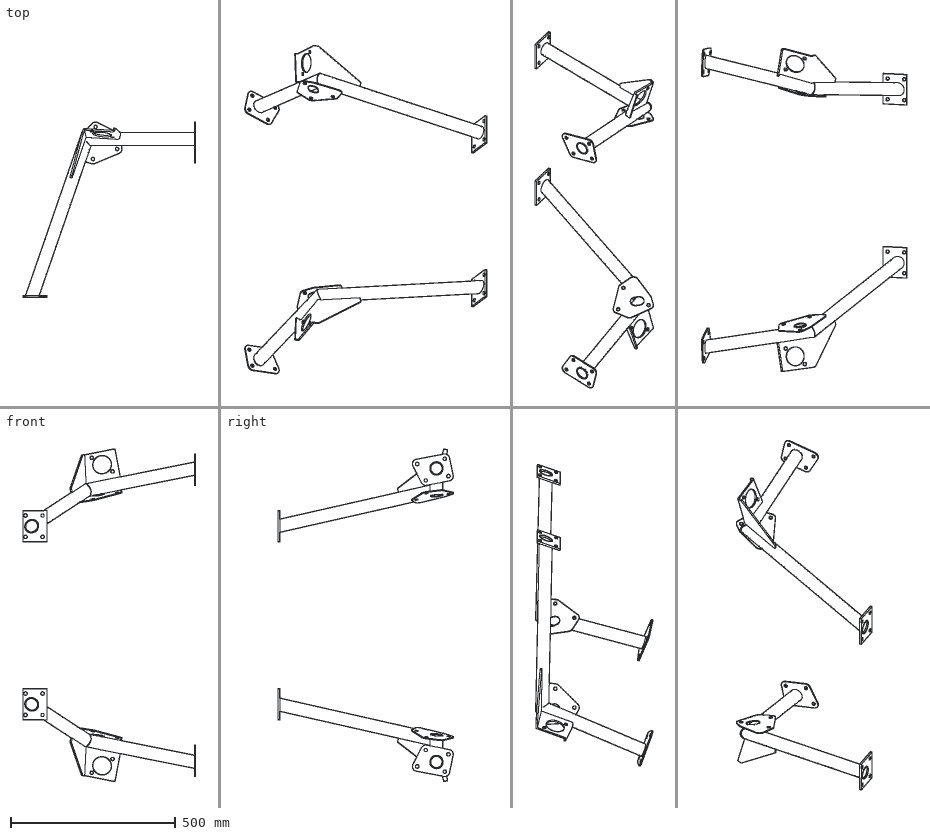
import cadquery as cq
import math


overall_x = 526.64
overall_y = 535.02
wall_face_x = overall_x / 2
foot_edge_x = -overall_x / 2
foot_face_y = -overall_y / 2

tube_diameter = 40.0
tube_bore = 34.0
tube_radius = tube_diameter / 2
corner = cq.Vector(-69.5, 215.5, 381)
wall_end = cq.Vector(wall_face_x, corner.y, 447.5)
foot_end = cq.Vector(-236.5, foot_face_y, 271.5)
rod_overrun = 60.0
cutter_size = 1500.0

tube_hole_diameter = 40.2
plate_bolt_diameter = 10.1
bracket_bolt_diameter = 10.15

foot_width = 74.0
foot_height = 95.0
foot_thickness = 6.0
foot_bolt_pitch_x = 52.0
foot_bolt_pitch_z = 65.0
foot_bolt_edge = 8.0

wall_thickness = 4.0
wall_lobe_radius = 15.0
wall_bolts = [(241, 477), (157, 461), (183, 411), (252, 424)]

mount_thickness = 3.0
mount_lobe_radius = 15.0
mount_bolts = [(25.0, 34.1), (90.0, -34.0), (14.0, -65.0)]
mount_back_shoulder = (85.0, 4.0)
mount_corner_shoulder = (7.0, 15.0)
mount_foot_shoulder = (-25.0, -54.0)
mount_slot_length = 42.0
mount_slot_width = 31.0
mount_slot_angle = -45.0
mount_slot = (32.0, -2.5)

bracket_thickness = 5.0
bend_direction = cq.Vector(-0.05, 0.25, 1).normalized()
motor_toe_angle = 3.5
motor_width = 100.0
motor_height = 110.9
motor_center = (61.0, 70.0)
motor_bore = 57.0
motor_bolt_offset = 27.5
edge_bend_radius = 8.0
lip_top_depth = 5.0
lip_bottom_depth = 13.0
lip_bottom_height = 22.0
gusset_length = 123.0
gusset_tip_height = 33.0
gusset_top_width = 14.0
gusset_top_rise = 3.0

wall_axis = wall_end - corner
foot_axis = foot_end - corner
wall_direction = wall_axis.normalized()
foot_direction = foot_axis.normalized()
arm_normal = foot_direction.cross(wall_direction).normalized()


def plane_at(origin, x_direction, normal):
    return cq.Plane(origin=origin.toTuple(), xDir=x_direction.toTuple(), normal=normal.toTuple())


mount_plane = plane_at(corner - arm_normal * tube_radius, wall_direction, arm_normal)
toe = cq.Vector(0, -math.tan(math.radians(motor_toe_angle)), 0)
motor_direction = (wall_direction + toe).normalized()
motor_plane = plane_at(corner, motor_direction, motor_direction.cross(bend_direction))
gusset_plane = plane_at(corner, foot_direction, foot_direction.cross(bend_direction))
rise_along_bend = motor_height / bend_direction.dot(motor_plane.yDir)
edge_bend_plane = plane_at(corner, motor_direction, motor_plane.yDir)
lip_origin = corner + motor_direction * (motor_width + edge_bend_radius)
lip_plane = plane_at(lip_origin, motor_plane.zDir * -1, motor_direction)


def drill(plane, points, diameter, depth):
    return cq.Workplane(plane).pushPoints(points).circle(diameter / 2).extrude(depth)


def rod(axis, diameter):
    """A round bar along a tube axis, running past both of its ends."""
    direction = axis.normalized()
    start = corner - direction * rod_overrun
    return cq.Solid.makeCylinder(diameter / 2, axis.Length + 2 * rod_overrun, start, direction)


def half_space(origin, direction):
    plane = cq.Plane(origin=origin.toTuple(), normal=direction.toTuple())
    return cq.Workplane(plane).rect(cutter_size, cutter_size).extrude(cutter_size).val()


def mitered_rods(diameter):
    """Two bars joined at the corner on a miter and trimmed flush with the end plates."""
    miter_normal = wall_direction - foot_direction
    wall_rod = rod(wall_axis, diameter).intersect(half_space(corner, miter_normal))
    wall_rod = wall_rod.cut(half_space(wall_end, cq.Vector(1, 0, 0)))
    foot_rod = rod(foot_axis, diameter).intersect(half_space(corner, miter_normal * -1))
    foot_rod = foot_rod.cut(half_space(foot_end, cq.Vector(0, -1, 0)))
    return wall_rod.fuse(foot_rod)


def lobed_plate(plane, centers, thickness, lobe_radius):
    return cq.Workplane(plane).polyline(centers).close().offset2D(lobe_radius).extrude(thickness)


def make_motor_plate():
    bend_top = rise_along_bend * bend_direction.dot(motor_direction)
    outline = [(0, 0), (motor_width, 0), (motor_width, motor_height), (bend_top, motor_height)]
    plate = cq.Workplane(motor_plane).polyline(outline).close().extrude(-bracket_thickness)
    x, y = motor_center
    bolts = [(x + side * motor_bolt_offset, y - side * motor_bolt_offset) for side in (-1, 1)]
    plate = plate.cut(drill(motor_plane, [motor_center], motor_bore, -bracket_thickness))
    return plate.cut(drill(motor_plane, bolts, bracket_bolt_diameter, -bracket_thickness))


def make_edge_bend():
    """The free edge of the motor plate, turned backward on a quarter-round bend."""
    inner_radius = edge_bend_radius - bracket_thickness
    outer_end_x = motor_width + edge_bend_radius
    diagonal = math.sqrt(0.5)
    outer_middle = (motor_width + edge_bend_radius * diagonal, edge_bend_radius * (1 - diagonal))
    inner_middle = (motor_width + inner_radius * diagonal, edge_bend_radius - inner_radius * diagonal)
    return (
        cq.Workplane(edge_bend_plane)
        .moveTo(motor_width, 0)
        .threePointArc(outer_middle, (outer_end_x, edge_bend_radius))
        .lineTo(outer_end_x - bracket_thickness, edge_bend_radius)
        .threePointArc(inner_middle, (motor_width, bracket_thickness))
        .close()
        .extrude(motor_height)
    )


def make_lip():
    """A strip behind the bend, deeper toward the tube."""
    outline = [
        (edge_bend_radius, lip_bottom_height),
        (edge_bend_radius + lip_bottom_depth, lip_bottom_height),
        (edge_bend_radius + lip_top_depth, motor_height),
        (edge_bend_radius, motor_height),
    ]
    return cq.Workplane(lip_plane).polyline(outline).close().extrude(-bracket_thickness)


def make_gusset():
    bend_x = rise_along_bend * bend_direction.dot(foot_direction)
    bend_y = rise_along_bend * bend_direction.dot(gusset_plane.yDir)
    outline = [
        (0, 0),
        (bend_x, bend_y),
        (bend_x + gusset_top_width, bend_y + gusset_top_rise),
        (gusset_length, gusset_tip_height),
        (gusset_length, 0),
    ]
    return cq.Workplane(gusset_plane).polyline(outline).close().extrude(bracket_thickness)


def make_corner_bend():
    """The rounded outside of the bend between the motor plate and the gusset."""
    motor_back = motor_plane.zDir * -1
    gusset_outside = gusset_plane.zDir
    middle = (motor_back + gusset_outside).normalized()
    ends = [corner + side * bracket_thickness for side in (motor_back, middle, gusset_outside)]
    arc = cq.Edge.makeThreePointArc(*ends)
    back_side = cq.Edge.makeLine(corner, ends[0])
    outer_side = cq.Edge.makeLine(ends[2], corner)
    profile = cq.Wire.assembleEdges([back_side, arc, outer_side])
    return cq.Workplane(cq.Solid.extrudeLinear(profile, [], bend_direction * rise_along_bend))


def make_frame():
    """The two tubes with the bracket that stands on them."""
    rods = mitered_rods(tube_diameter)
    tubes = rods.cut(mitered_rods(tube_bore))
    bracket = make_motor_plate().union(make_edge_bend()).union(make_lip())
    bracket = bracket.union(make_corner_bend()).union(make_gusset())
    return cq.Workplane(tubes).union(bracket.cut(cq.Workplane(rods)))


def make_foot_plate():
    origin = cq.Vector(foot_edge_x, foot_face_y, foot_end.z)
    plane = plane_at(origin, cq.Vector(1, 0, 0), cq.Vector(0, -1, 0))
    outline = cq.Workplane(plane).center(foot_width / 2, 0).rect(foot_width, foot_height)
    plate = outline.extrude(-foot_thickness)
    columns = (foot_bolt_edge, foot_bolt_edge + foot_bolt_pitch_x)
    rows = (-foot_bolt_pitch_z / 2, foot_bolt_pitch_z / 2)
    bolts = [(x, z) for x in columns for z in rows]
    plate = plate.cut(drill(plane, bolts, plate_bolt_diameter, -foot_thickness))
    return plate.cut(cq.Workplane(rod(foot_axis, tube_hole_diameter)))


def make_wall_plate():
    origin = cq.Vector(wall_face_x - wall_thickness, 0, 0)
    plane = plane_at(origin, cq.Vector(0, 1, 0), cq.Vector(1, 0, 0))
    plate = lobed_plate(plane, wall_bolts, wall_thickness, wall_lobe_radius)
    plate = plate.cut(drill(plane, wall_bolts, plate_bolt_diameter, wall_thickness))
    return plate.cut(cq.Workplane(rod(wall_axis, tube_hole_diameter)))


def make_mount_plate():
    back_bolt, end_bolt, foot_bolt = mount_bolts
    centers = [back_bolt, mount_back_shoulder, end_bolt, foot_bolt]
    centers += [mount_foot_shoulder, mount_corner_shoulder]
    plate = lobed_plate(mount_plane, centers, -mount_thickness, mount_lobe_radius)
    plate = plate.cut(drill(mount_plane, mount_bolts, bracket_bolt_diameter, -mount_thickness))
    slot = (
        cq.Workplane(mount_plane)
        .center(*mount_slot)
        .slot2D(mount_slot_length, mount_slot_width, mount_slot_angle)
        .extrude(-mount_thickness)
    )
    return plate.cut(slot)


bodies = []
for make_body in (make_frame, make_foot_plate, make_wall_plate, make_mount_plate):
    upper_body = make_body().solids().val()
    bodies += [upper_body, upper_body.mirror("XY")]

result = cq.Compound.makeCompound(bodies)